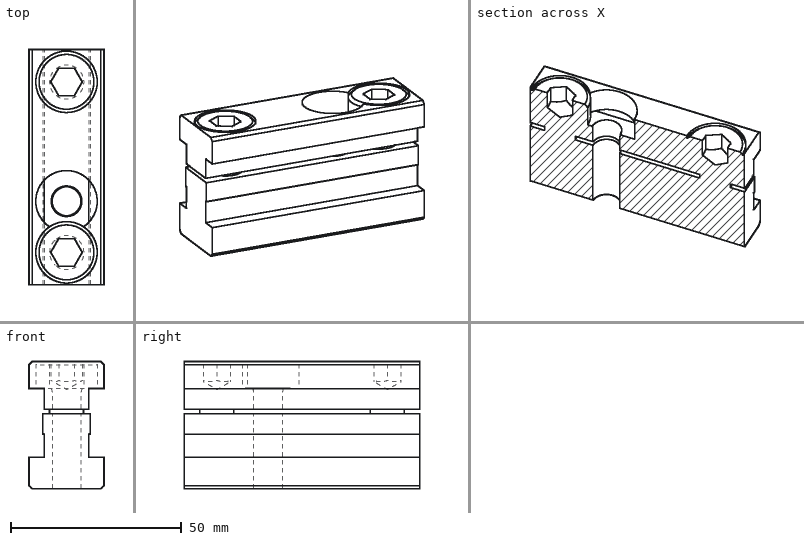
import cadquery as cq
import math

length = 69.0
width = 22.0
height = 37.3
edge_chamfer = 1.0

neck_width = 13.05
tongue_width = 14.0
lower_flange_top = 9.3
tongue_bottom = 16.0
lower_rail_top = 22.0

upper_rail_bottom = 23.25
upper_flange_bottom = 29.3

counterbore_depth = 7.8

screw_end_distance = 9.5
shank_diameter = 10.0
head_diameter = 18.0
head_height = counterbore_depth
head_chamfer = 1.0
hex_across_flats = 8.0
hex_depth = 5.5
hex_tip_angle = 120.0

hole_screw_spacing = 15.0
hole_diameter = 8.5
hole_mouth_diameter = 9.0
hole_mouth_depth = 1.05
counterbore_diameter = head_diameter

screw_y = length / 2 - screw_end_distance
hole_y = -screw_y + hole_screw_spacing


def bar(bar_width, bottom, top):
    """Full-length bar centred on the YZ plane."""
    return cq.Workplane("XY").workplane(offset=bottom).rect(bar_width, length).extrude(top - bottom)


def cylinder(diameter, y, bottom, top):
    """Vertical cylinder on the centre line of the block."""
    return cq.Workplane("XY").workplane(offset=bottom).center(0, y).circle(diameter / 2).extrude(top - bottom)


def lower_rail():
    flange = bar(width, 0, lower_flange_top).edges("|Y and <Z").chamfer(edge_chamfer)
    neck = bar(neck_width, lower_flange_top, tongue_bottom)
    tongue = bar(tongue_width, tongue_bottom, lower_rail_top)
    rail = flange.union(neck).union(tongue)
    return rail.cut(cylinder(hole_diameter, hole_y, 0, lower_rail_top))


def hole_mouth():
    """Steep lead-in cone from the counterbore floor into the through hole."""
    floor_centre = cq.Vector(0, hole_y, height - counterbore_depth)
    downward = cq.Vector(0, 0, -1)
    return cq.Workplane(
        cq.Solid.makeCone(hole_mouth_diameter / 2, hole_diameter / 2, hole_mouth_depth, floor_centre, downward)
    )


def upper_rail():
    flange = bar(width, upper_flange_bottom, height).edges("|Y and >Z").chamfer(edge_chamfer)
    neck = bar(neck_width, upper_rail_bottom, upper_flange_bottom)
    rail = flange.union(neck)
    rail = rail.cut(cylinder(hole_diameter, hole_y, upper_rail_bottom, height))
    rail = rail.cut(cylinder(counterbore_diameter, hole_y, height - counterbore_depth, height))
    return rail.cut(hole_mouth())


def head_pocket(y):
    """Space that a screw head takes up in the upper rail."""
    return cylinder(head_diameter, y, height - head_height, height)


def hex_socket(y):
    """Hexagonal socket whose walls run down to a conical bottom."""
    corner_radius = hex_across_flats / 2 / math.cos(math.radians(30))
    tip_depth = corner_radius / math.tan(math.radians(hex_tip_angle / 2))
    cone_top = height - hex_depth
    prism = (
        cq.Workplane("XY")
        .workplane(offset=cone_top - tip_depth)
        .center(0, y)
        .polygon(6, 2 * corner_radius)
        .extrude(hex_depth + tip_depth)
    )
    cone = cq.Workplane(
        cq.Solid.makeCone(corner_radius, 0, tip_depth, cq.Vector(0, y, cone_top), cq.Vector(0, 0, -1))
    )
    pointed_bore = cone.union(cylinder(2 * corner_radius, y, cone_top, height))
    return prism.intersect(pointed_bore)


def screw(y):
    """Cap screw, without its socket, with its head flush with the top face."""
    head = head_pocket(y).faces(">Z").edges().chamfer(head_chamfer)
    shank = cylinder(shank_diameter, y, lower_flange_top, height - head_height)
    return head.union(shank)


screw_places = (-screw_y, screw_y)

upper = upper_rail()
for place in screw_places:
    upper = upper.cut(head_pocket(place))

result = lower_rail().union(upper)
for place in screw_places:
    result = result.union(screw(place)).cut(hex_socket(place))